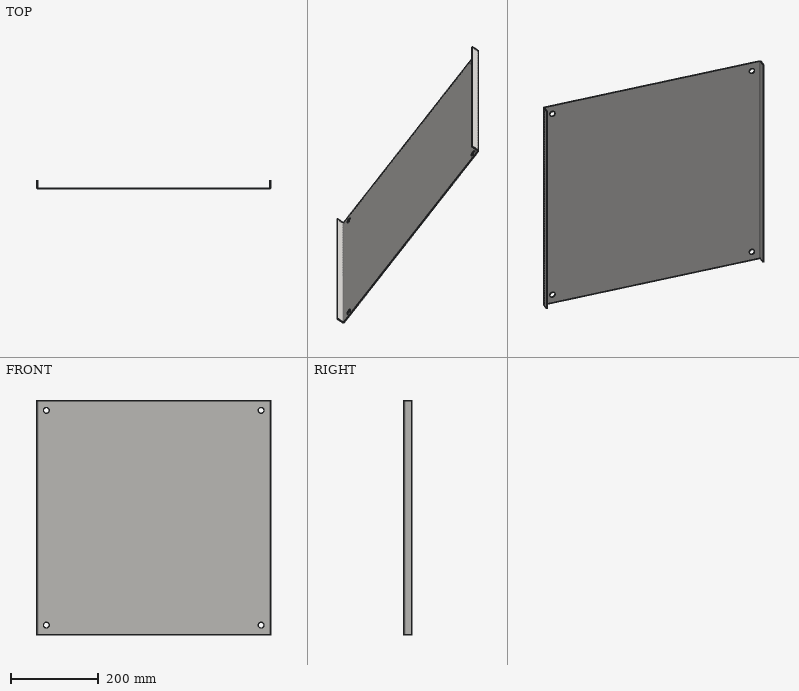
import cadquery as cq

side = 533.5
depth = 19.0
thickness = 2.5
bend_radius = 3.0
hole_diameter = 13.0
hole_spacing = 489.0

half_side = side / 2
front_y = -depth / 2


def make_channel():
    """Folded sheet: a flat web in front with a flange turned back at each side."""
    outer = (
        cq.Workplane("XY", origin=(0, 0, -half_side))
        .rect(side, depth)
        .extrude(side)
        .edges("|Z and <Y")
        .fillet(bend_radius)
    )
    inner = (
        cq.Workplane("XY", origin=(0, thickness, -half_side))
        .rect(side - 2 * thickness, depth)
        .extrude(side)
        .edges("|Z and <Y")
        .fillet(bend_radius - thickness)
    )
    return outer.cut(inner)


def make_hole_cutters():
    """Four cylinders along Y, one near each corner of the web."""
    return (
        cq.Workplane("XZ", origin=(0, front_y + thickness, 0))
        .rect(hole_spacing, hole_spacing, forConstruction=True)
        .vertices()
        .circle(hole_diameter / 2)
        .extrude(thickness)
    )


result = make_channel().cut(make_hole_cutters())